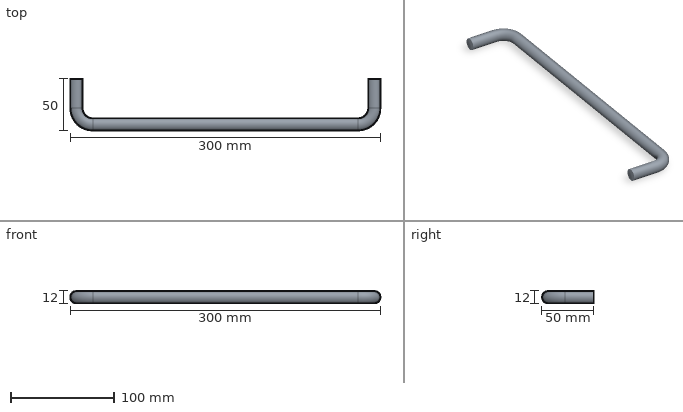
import cadquery as cq

overall_length = 300.0
overall_depth = 50.0
rod_diameter = 12.0
bend_radius = 16.0

rod_radius = rod_diameter / 2
leg_x = overall_length / 2 - rod_radius
grip_y = rod_radius
bend_start_y = grip_y + bend_radius
bend_end_x = leg_x - bend_radius

centreline = (
    cq.Workplane("XY")
    .moveTo(-leg_x, overall_depth)
    .lineTo(-leg_x, bend_start_y)
    .radiusArc((-bend_end_x, grip_y), -bend_radius)
    .lineTo(bend_end_x, grip_y)
    .radiusArc((leg_x, bend_start_y), -bend_radius)
    .lineTo(leg_x, overall_depth)
)

result = (
    cq.Workplane("XZ", origin=(-leg_x, overall_depth, 0))
    .circle(rod_radius)
    .sweep(centreline)
)